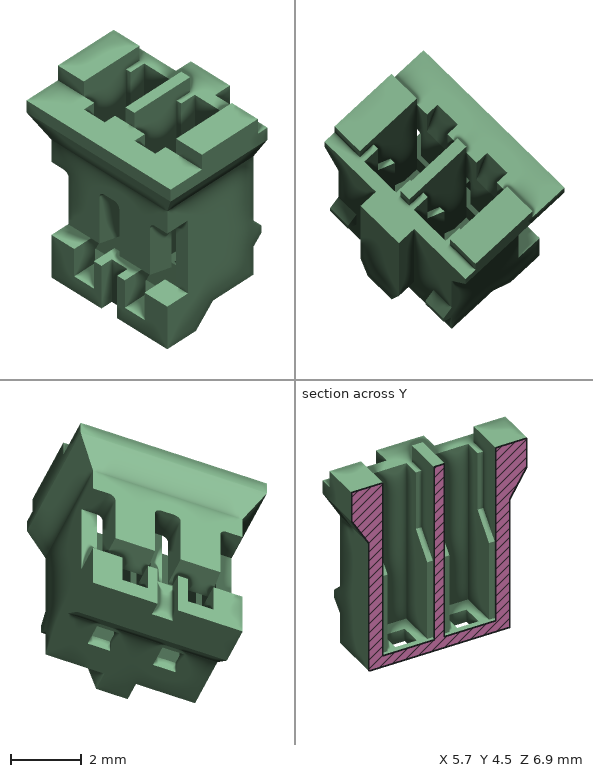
import cadquery as cq


total_height = 6.9
flange_width = 5.7
body_width = 4.58
body_depth = 3.465
flange_overhang = 0.435
flange_top = 6.36
flange_edge_bottom = 5.93
flange_taper_bottom = 5.0
body_bottom = 0.705

cell_pitch = 2.0
centre_wall = 0.35
cell_width = cell_pitch - centre_wall
cell_centres = (-cell_pitch / 2, cell_pitch / 2)
cells_half_width = cell_pitch / 2 + cell_width / 2
front_wall = 0.83
rear_wall = 0.39
cell_rear = body_depth - rear_wall

floor_low = 0.55
floor_high = 1.12
floor_ramp_front = 1.31
floor_ramp_rear = 1.87

channel_width = 1.28
post_front = 2.525
post_ramp_top = 4.46
post_ramp_bottom = 3.705

window_size = 0.69
window_front = 1.945

lead_in_width = 0.82
lead_in_depth = 0.415
lead_in_bottom = 4.83

opening_bottom = 1.545
opening_top = 4.195
lance_root_width = 1.305
lance_front_width = 1.215
lance_tip_front = 2.31
lance_tip_rear = 2.14
lance_fillet = 0.2

foot_bottom_depth = 1.15
foot_slope_depth = 1.84
foot_notch_width = 0.78
foot_groove_width = 0.62
foot_groove_depth = 0.415

key_width = 1.545
key_depth = 0.6
key_taper_top = 1.63
key_tip_width = 0.965
latch_width = 0.73
latch_depth = 0.325
latch_levels = (1.72, 2.04, 2.305, 2.61)


def box(x_min, x_max, y_min, y_max, z_min, z_max):
    """Axis-aligned block between the given limits."""
    size = (x_max - x_min, y_max - y_min, z_max - z_min)
    return cq.Workplane("XY").box(*size, centered=False).translate((x_min, y_min, z_min))


def centred_box(x_centre, width, y_min, y_max, z_min, z_max):
    """Block of the given width, centred on x_centre."""
    return box(x_centre - width / 2, x_centre + width / 2, y_min, y_max, z_min, z_max)


def side_prism(x_centre, width, yz_points):
    """Side outline in (Y, Z), extruded evenly about x_centre."""
    prism = cq.Workplane("YZ").polyline(yz_points).close().extrude(width / 2, both=True)
    return prism.translate((x_centre, 0, 0))


def front_prism(y_min, y_max, xz_points):
    """Front outline in (X, Z), extruded from y_min to y_max."""
    prism = cq.Workplane("XZ").polyline(xz_points).close().extrude(y_min - y_max)
    return prism.translate((0, y_min, 0))


def make_shell():
    """Body with its sloped foot and the flange tapering out at both sides and the front."""
    side_outline = [
        (-flange_overhang, flange_top),
        (-flange_overhang, flange_edge_bottom),
        (0, flange_taper_bottom),
        (0, 0),
        (foot_bottom_depth, 0),
        (foot_slope_depth, body_bottom),
        (body_depth, body_bottom),
        (body_depth, flange_top),
    ]
    half_body = body_width / 2
    half_flange = flange_width / 2
    front_outline = [
        (-half_body, 0),
        (half_body, 0),
        (half_body, flange_taper_bottom),
        (half_flange, flange_edge_bottom),
        (half_flange, flange_top),
        (-half_flange, flange_top),
        (-half_flange, flange_edge_bottom),
        (-half_body, flange_taper_bottom),
    ]
    side_shape = side_prism(0, flange_width, side_outline)
    return side_shape.intersect(front_prism(-flange_overhang, body_depth, front_outline))


def make_top_bars():
    """Raised bars above the flange: two at the sides and the centre wall."""
    bars = centred_box(0, centre_wall, front_wall, cell_rear, flange_top, total_height)
    bar_width = flange_width / 2 - cells_half_width
    for side in (-1, 1):
        bar_centre = side * (cells_half_width + bar_width / 2)
        bars = bars.union(
            centred_box(bar_centre, bar_width, front_wall, cell_rear, flange_top, total_height)
        )
    return bars


def make_cell(x_centre):
    """Cavity of one cell: wide front part, rear channel, lead-in groove and contact window."""
    wide_part = [
        (front_wall, flange_top),
        (front_wall, floor_low),
        (floor_ramp_front, floor_low),
        (floor_ramp_rear, floor_high),
        (floor_ramp_rear, post_ramp_bottom),
        (post_front, post_ramp_top),
        (post_front, flange_top),
    ]
    lead_in = [
        (front_wall, flange_top),
        (front_wall, lead_in_bottom),
        (front_wall - lead_in_depth, flange_top),
    ]
    window_rear = window_front + window_size
    cell = side_prism(x_centre, cell_width, wide_part)
    cell = cell.union(
        centred_box(x_centre, channel_width, floor_ramp_rear, cell_rear, floor_high, flange_top)
    )
    cell = cell.union(side_prism(x_centre, lead_in_width, lead_in))
    return cell.union(
        centred_box(x_centre, window_size, window_front, window_rear, 0, floor_high)
    )


def make_lance(x_centre):
    """Lance blank: narrower towards the front, with a sloped tip."""
    plan = [
        (x_centre - lance_front_width / 2, 0),
        (x_centre + lance_front_width / 2, 0),
        (x_centre + lance_root_width / 2, front_wall),
        (x_centre - lance_root_width / 2, front_wall),
    ]
    side_outline = [
        (0, lance_tip_front),
        (front_wall, lance_tip_rear),
        (front_wall, opening_top),
        (0, opening_top),
    ]
    blank = cq.Workplane("XY").polyline(plan).close().extrude(opening_top)
    return blank.intersect(side_prism(x_centre, lance_root_width, side_outline))


def make_front_opening():
    """Opening across the front wall, leaving the lances, with rounded lance roots."""
    opening = centred_box(0, body_width, 0, front_wall, opening_bottom, opening_top)
    for x_centre in cell_centres:
        opening = opening.cut(make_lance(x_centre))
    outermost_root = cell_pitch / 2 + lance_root_width / 2
    reach = (outermost_root + body_width / 2) / 2
    root_zone = cq.selectors.BoxSelector(
        (-reach, front_wall / 4, opening_top - lance_fillet / 2),
        (reach, front_wall * 3 / 4, opening_top + lance_fillet / 2),
    )
    return opening.edges(root_zone).fillet(lance_fillet)


def make_foot_cuts():
    """Notch into each cell and the central groove in the face of the foot."""
    cuts = centred_box(0, foot_groove_width, 0, foot_groove_depth, 0, opening_bottom)
    for x_centre in cell_centres:
        cuts = cuts.union(
            centred_box(x_centre, foot_notch_width, 0, front_wall, floor_low, opening_bottom)
        )
    return cuts


def make_key():
    """Rear key rib, narrowing towards its lower end."""
    outline = [
        (-key_width / 2, flange_top),
        (-key_width / 2, key_taper_top),
        (-key_tip_width / 2, body_bottom),
        (key_tip_width / 2, body_bottom),
        (key_width / 2, key_taper_top),
        (key_width / 2, flange_top),
    ]
    return front_prism(body_depth, body_depth + key_depth, outline)


def make_latch(x_centre):
    """Trapezoidal latch bump on the rear face."""
    root_low, tip_low, tip_high, root_high = latch_levels
    outline = [
        (body_depth, root_low),
        (body_depth + latch_depth, tip_low),
        (body_depth + latch_depth, tip_high),
        (body_depth, root_high),
    ]
    return side_prism(x_centre, latch_width, outline)


housing = make_shell().union(make_top_bars()).union(make_key())
for side in (-1, 1):
    housing = housing.union(make_latch(side * (body_width - latch_width) / 2))
for cell_x in cell_centres:
    housing = housing.cut(make_cell(cell_x))
result = housing.cut(make_front_opening()).cut(make_foot_cuts())